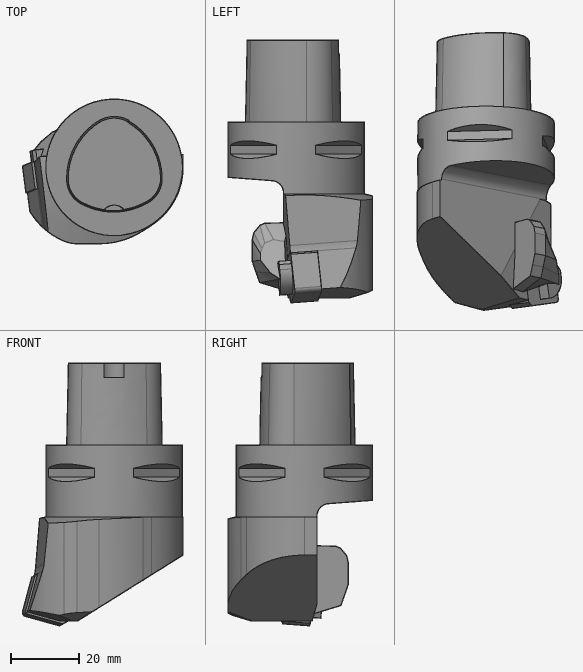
import cadquery as cq
import math

REACH = 80.0

SHANK_LENGTH = 24.0
SHANK_BASE_WIDTH = 28.0
SHANK_TAPER = 0.5
LOBE_CENTRE = 6.1
LOBE_RADIUS = 8.8
KEYWAY_WIDTH = 6.1
KEYWAY_LENGTH = 4.2
KEYWAY_RADIUS = 3.8
KEYWAY_FLOOR = 11.05

FLANGE_RADIUS = 20.0
FLANGE_HEIGHT = 21.0
SLOT_FLOOR_DISTANCE = 17.6
SLOT_FLOOR_HEIGHT = 2.6
SLOT_WALL_ANGLE = 28.0
SLOT_Z = -8.1
SLOT_COUNT = 4

WEB_FACE_Y = 3.7
RELIEF_RIM_Z = -16.2
RELIEF_SLOPE = 4.4
RELIEF_RADIUS = 3.6

HEAD_RADIUS = 20.2
HEAD_FLANK_ANGLE = 33.0
HEAD_FRONT_Y = -22.4
FRONT_FLAT_X = (-10.8, -4.45)
CORNER_START = (-14.7, -21.6)
CORNER_END = (-24.5, -13.2)
HEAD_BLANK_X = -30.0
HEAD_TOP_ANGLE = 15.0

HEAD_BOTTOM_Z = -51.55
BACK_CUT_ANGLE = 32.0
BACK_CUT_Z = -32.2
HEEL_POINT = (-10.8, HEAD_FRONT_Y, -49.05)
HEEL_NORMAL = (0.061, -0.347, -1.0)

LEAD_ANGLE = 15.0
RAKE_ANGLE = 6.0
CUTTING_CORNER = (-27.13, 0.3, -49.84)
INSERT_SIZE = 12.7
INSERT_THICKNESS = 7.94
INSERT_NOSE_RADIUS = 1.2
INSERT_CORNER_CHAMFER = 1.1
SEAT_INSET = 0.6
FLANK_BEND_HEIGHT = 13.3
FLANK_BEND_ANGLE = 10.3
FLANK_BEND_RADIUS = 12.0

FINGER_THICKNESS = 3.6
FINGER_EDGE = (1.3, 1.5)
FINGER_TOP = 10.3
FINGER_CHAMFER = (0.8, 1.2)
FINGER_WIDTH = 6.3
FINGER_RADIUS = 6.0
CLAMP_BACK_X = -8.0
CLAMP_MID_X = -12.0
CLAMP_FRONT_ORIGIN = (-23.7, 4.7, -46.0)
CLAMP_FRONT_SLOPE = (0.427, 0.594)
CLAMP_SECTION = [
    (2.0, -29.4), (9.2, -29.6), (10.6, -30.2), (12.4, -32.4), (12.9, -34.5),
    (12.9, -40.7), (11.8, -43.9), (10.7, -47.0), (2.0, -49.6),
]
CLAMP_FRONT = [
    (3.4, -35.0), (6.6, -34.4), (9.2, -35.4), (10.0, -37.0), (10.5, -38.4),
    (10.4, -40.5), (7.6, -44.1), (4.7, -46.0), (3.0, -44.5),
]


def seat_frame():
    """Frame in the rake face: x along the end edge, y up the side edge, z into the insert."""
    lead = math.radians(LEAD_ANGLE)
    along = cq.Vector(math.cos(lead), 0, -math.sin(lead))
    up = cq.Vector(math.sin(lead), 0, math.cos(lead))
    into = cq.Vector(0, -1, 0) + (along + up) * math.tan(math.radians(RAKE_ANGLE))
    into = into.normalized()
    x_dir = along - into * along.dot(into)
    return cq.Plane(origin=CUTTING_CORNER, xDir=x_dir, normal=into)


SEAT = seat_frame()


def beyond(plane):
    """Large block on the side of the plane that its normal points to."""
    return cq.Workplane(plane).rect(2 * REACH, 2 * REACH).extrude(REACH)


def polar(radius, degrees):
    """Point at a distance and angle from the origin."""
    angle = math.radians(degrees)
    return (radius * math.cos(angle), radius * math.sin(angle))


def lobed_section(workplane, inset):
    """Constant-width outline of three lobe arcs joined tangentially by three flatter arcs."""
    lobe = LOBE_RADIUS - inset
    flat = SHANK_BASE_WIDTH - LOBE_RADIUS - inset

    def arc_point(centre_angle, radius, angle):
        cx, cy = polar(LOBE_CENTRE, centre_angle)
        dx, dy = polar(radius, angle)
        return (cx + dx, cy + dy)

    outline = workplane.moveTo(*arc_point(90, lobe, 60))
    for tip in (90, 210, 330):
        outline = outline.threePointArc(arc_point(tip, lobe, tip), arc_point(tip, lobe, tip + 30))
        opposite = tip + 240
        side = tip + 60
        outline = outline.threePointArc(
            arc_point(opposite, flat, side), arc_point(opposite, flat, side + 30)
        )
    return outline.close()


def make_shank():
    """Tapered lobed shank with a rounded keyway open at its end."""
    base = lobed_section(cq.Workplane("XY"), 0)
    shank = lobed_section(base.workplane(offset=SHANK_LENGTH), SHANK_TAPER).loft(ruled=True)
    keyway_bottom = cq.Workplane("XY").workplane(offset=SHANK_LENGTH - KEYWAY_LENGTH)
    keyway = keyway_bottom.center(0, -KEYWAY_FLOOR - KEYWAY_RADIUS).circle(KEYWAY_RADIUS)
    keyway = keyway.extrude(KEYWAY_LENGTH)
    sides = keyway_bottom.rect(KEYWAY_WIDTH, 2 * REACH).extrude(KEYWAY_LENGTH)
    return shank.cut(keyway.intersect(sides))


def gripper_slot():
    """Straight slot with a flat floor and sloping walls, running along Y on the X+ side."""
    depth = FLANGE_RADIUS - SLOT_FLOOR_DISTANCE
    floor = SLOT_FLOOR_HEIGHT / 2
    mouth = floor + depth * math.tan(math.radians(SLOT_WALL_ANGLE))
    section = [
        (SLOT_FLOOR_DISTANCE, SLOT_Z - floor),
        (FLANGE_RADIUS, SLOT_Z - mouth),
        (FLANGE_RADIUS, SLOT_Z + mouth),
        (SLOT_FLOOR_DISTANCE, SLOT_Z + floor),
    ]
    return cq.Workplane("XZ").polyline(section).close().extrude(FLANGE_RADIUS, both=True)


def make_flange():
    """Round flange with gripper slots facing the diagonals between X and Y."""
    flange = cq.Workplane("XY").circle(FLANGE_RADIUS).extrude(-FLANGE_HEIGHT)
    step = 360 / SLOT_COUNT
    for i in range(SLOT_COUNT):
        flange = flange.cut(gripper_slot().rotate((0, 0, 0), (0, 0, 1), step * (i + 0.5)))
    return flange


def head_blank():
    """Head outline extruded downward under a conical top."""
    flank = math.radians(HEAD_FLANK_ANGLE)
    sin_f = math.sin(flank)
    cos_f = math.cos(flank)
    flank_top = (HEAD_RADIUS * sin_f, -HEAD_RADIUS * cos_f)
    flat_end = FRONT_FLAT_X[1]
    line_y = flank_top[1] - math.tan(flank) * (flank_top[0] - flat_end)
    front_radius = (HEAD_FRONT_Y - line_y) / (1 / cos_f - 1)
    arc_end = (flat_end + front_radius * sin_f, HEAD_FRONT_Y + front_radius * (1 - cos_f))
    outline = (
        cq.Workplane("XY")
        .moveTo(HEAD_RADIUS, WEB_FACE_Y)
        .lineTo(HEAD_RADIUS, 0)
        .radiusArc(flank_top, HEAD_RADIUS)
        .lineTo(*arc_end)
        .radiusArc((flat_end, HEAD_FRONT_Y), front_radius)
        .lineTo(FRONT_FLAT_X[0], HEAD_FRONT_Y)
        .tangentArcPoint(CORNER_START, relative=False)
        .tangentArcPoint(CORNER_END, relative=False)
        .lineTo(HEAD_BLANK_X, CORNER_END[1] / 2)
        .lineTo(HEAD_BLANK_X, WEB_FACE_Y)
        .close()
    )
    blank = outline.extrude(HEAD_BOTTOM_Z)
    drop = (REACH - FLANGE_RADIUS) * math.tan(math.radians(HEAD_TOP_ANGLE))
    under_cone = [
        (0, -FLANGE_HEIGHT),
        (FLANGE_RADIUS, -FLANGE_HEIGHT),
        (REACH, -FLANGE_HEIGHT - drop),
        (REACH, -REACH),
        (0, -REACH),
    ]
    cone = cq.Workplane("XZ").polyline(under_cone).close().revolve(360, (0, 0), (0, 1))
    return blank.intersect(cone)


def seat_envelope():
    """Prism square to the rake face that bounds the flank and end of the head."""
    rise = REACH - FLANK_BEND_HEIGHT
    lean = rise * math.tan(math.radians(FLANK_BEND_ANGLE))
    section = [
        (SEAT_INSET, SEAT_INSET),
        (SEAT_INSET, FLANK_BEND_HEIGHT),
        (SEAT_INSET - lean, REACH),
        (REACH, REACH),
        (REACH, SEAT_INSET),
    ]
    prism = cq.Workplane(SEAT).polyline(section).close().extrude(REACH)
    bend = SEAT.toWorldCoords((SEAT_INSET, FLANK_BEND_HEIGHT, REACH / 2))
    return prism.edges(cq.selectors.NearestToPointSelector(bend)).fillet(FLANK_BEND_RADIUS)


def make_head():
    """Head trimmed to the seat, with a slanted cut at the back and a relieved heel."""
    head = head_blank().intersect(seat_envelope())
    back = math.radians(BACK_CUT_ANGLE)
    back_plane = cq.Plane(
        origin=(HEAD_RADIUS, 0, BACK_CUT_Z),
        xDir=(0, 1, 0),
        normal=(math.sin(back), 0, -math.cos(back)),
    )
    heel_plane = cq.Plane(origin=HEEL_POINT, xDir=(1, 0, HEEL_NORMAL[0]), normal=HEEL_NORMAL)
    return head.cut(beyond(back_plane)).cut(beyond(heel_plane))


def flange_relief():
    """Space under the +Y half of the flange, with a sloping roof and a rounded inner corner."""
    slope = math.tan(math.radians(RELIEF_SLOPE))
    roof_z = RELIEF_RIM_Z - slope * (FLANGE_RADIUS - WEB_FACE_Y)
    section = [
        (WEB_FACE_Y, -REACH),
        (WEB_FACE_Y, roof_z),
        (REACH, roof_z + slope * (REACH - WEB_FACE_Y)),
        (REACH, -REACH),
    ]
    relief = cq.Workplane("YZ").polyline(section).close().extrude(REACH, both=True)
    corner = (0, WEB_FACE_Y, roof_z)
    return relief.edges(cq.selectors.NearestToPointSelector(corner)).fillet(RELIEF_RADIUS)


def clamp_finger():
    """Flat finger resting on the rake face, with a rounded tip near the cutting corner."""
    left, bottom = FINGER_EDGE
    bevel_width, bevel_height = FINGER_CHAMFER
    return (
        cq.Workplane(SEAT)
        .moveTo(left + bevel_width, FINGER_TOP)
        .lineTo(left, FINGER_TOP - bevel_height)
        .lineTo(left, bottom + FINGER_RADIUS)
        .radiusArc((left + FINGER_RADIUS, bottom), -FINGER_RADIUS)
        .lineTo(left + FINGER_WIDTH, bottom)
        .lineTo(left + FINGER_WIDTH, FINGER_TOP)
        .close()
        .extrude(-FINGER_THICKNESS)
    )


def make_clamp():
    """Clamp body that tapers from its full section to a front face sloping to the insert."""
    x0, y0, z0 = CLAMP_FRONT_ORIGIN
    slope_y, slope_z = CLAMP_FRONT_SLOPE
    front = [(x0 + slope_y * (y - y0) + slope_z * (z - z0), y, z) for y, z in CLAMP_FRONT]
    middle = [(CLAMP_MID_X, y, z) for y, z in CLAMP_SECTION]
    loops = []
    for corners in (middle, front):
        loops.append(cq.Wire.makePolygon([cq.Vector(*corner) for corner in corners], close=True))
    nose = cq.Workplane(obj=cq.Solid.makeLoft(loops, True))
    root = cq.Workplane("YZ").workplane(offset=CLAMP_MID_X).polyline(CLAMP_SECTION).close()
    return nose.union(root.extrude(CLAMP_BACK_X - CLAMP_MID_X))


def make_insert():
    """Square insert with one rounded cutting corner and three chamfered corners."""
    blank = cq.Workplane(SEAT).rect(INSERT_SIZE, INSERT_SIZE, centered=False)
    blank = blank.extrude(INSERT_THICKNESS)
    for x, y in ((INSERT_SIZE, 0), (INSERT_SIZE, INSERT_SIZE), (0, INSERT_SIZE)):
        corner = SEAT.toWorldCoords((x, y, INSERT_THICKNESS / 2))
        edge = blank.edges(cq.selectors.NearestToPointSelector(corner))
        blank = edge.chamfer(INSERT_CORNER_CHAMFER)
    nose = SEAT.toWorldCoords((0, 0, INSERT_THICKNESS / 2))
    return blank.edges(cq.selectors.NearestToPointSelector(nose)).fillet(INSERT_NOSE_RADIUS)


insert = make_insert()
holder = make_flange().union(make_head()).cut(flange_relief()).union(make_shank())
holder = holder.union(make_clamp()).union(clamp_finger()).cut(insert)

result = cq.Compound.makeCompound([holder.val(), insert.val()])